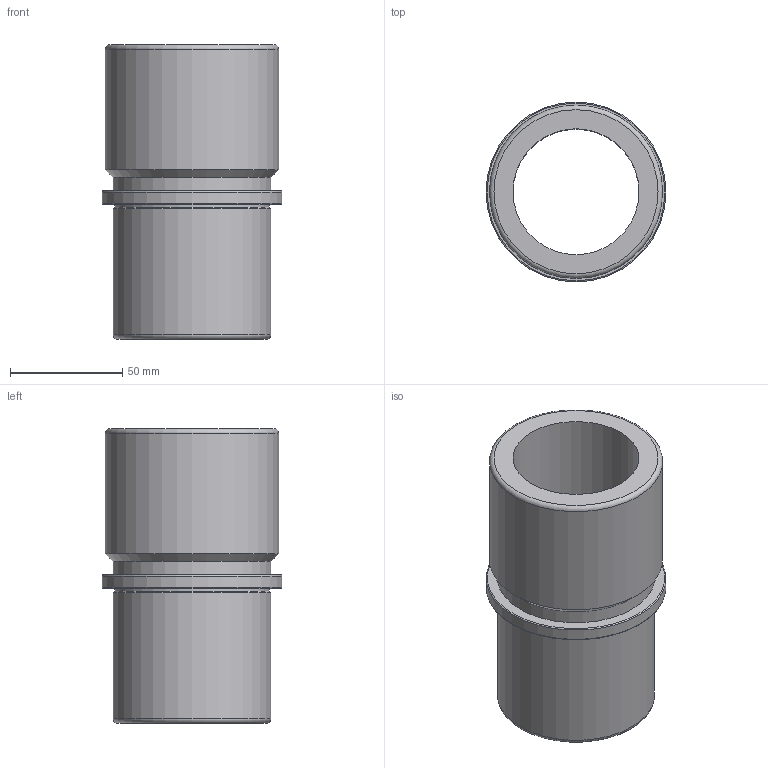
import cadquery as cq

bore_diameter = 56.0
body_diameter = 70.0
head_diameter = 77.0
flange_diameter = 80.0

total_height = 131.0
flange_bottom = 60.0
flange_thickness = 6.0
neck_height = 6.0

end_round = 2.0
flange_edge_round = 0.5
undercut_width = 2.0
undercut_depth = 0.7

bore_radius = bore_diameter / 2
body_radius = body_diameter / 2
head_radius = head_diameter / 2
flange_radius = flange_diameter / 2
flange_top = flange_bottom + flange_thickness
head_bottom = flange_top + neck_height


def cylinder(radius, bottom, top):
    """Solid cylinder on the Z axis between two heights."""
    return cq.Workplane("XY").workplane(offset=bottom).circle(radius).extrude(top - bottom)


def make_body():
    """Lower guide sleeve and neck, rounded at the lower end."""
    return cylinder(body_radius, 0, head_bottom).faces("<Z").edges().fillet(end_round)


def make_flange():
    """Locating collar with rounded outer edges."""
    return cylinder(flange_radius, flange_bottom, flange_top).edges().fillet(flange_edge_round)


def make_head():
    """Upper sleeve with a 45 degree lower shoulder and a rounded upper end."""
    shoulder = head_radius - body_radius
    head = cylinder(head_radius, head_bottom, total_height)
    head = head.faces("<Z").edges().chamfer(shoulder)
    return head.faces(">Z").edges().fillet(end_round)


def make_undercut():
    """Relief ring with a 45 degree lower flank, just below the flange."""
    root_radius = body_radius - undercut_depth
    groove_bottom = flange_bottom - undercut_width
    return (
        cq.Workplane("XZ")
        .moveTo(root_radius, flange_bottom)
        .lineTo(root_radius, groove_bottom + undercut_depth)
        .lineTo(body_radius, groove_bottom)
        .lineTo(body_radius, flange_bottom)
        .close()
        .revolve(360, (0, 0, 0), (0, 1, 0))
    )


outside = make_body().union(make_flange()).union(make_head())
bore = cylinder(bore_radius, 0, total_height)
result = outside.cut(make_undercut()).cut(bore)